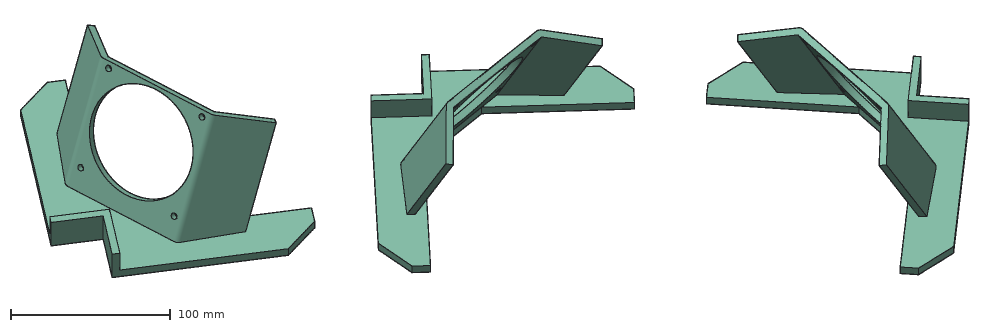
import cadquery as cq
import math

half_width = 102.4
depth = 115.9
base_thickness = 6.1
fork_tip_x = 23.3
arm_tip_x = 94.2

sheet = 5.0
wall_top = 21.7

tilt = 25.0
panel_top = 89.7
panel_half_width = 40.5
wing_length = 40.0
wing_angle = math.radians(45)
panel_foot_y = 42.8
hole_diameter = 76.0
screw_diameter = 4.0
screw_spacing = 71.5

tilt_radians = math.radians(tilt)
panel_length = (panel_top - base_thickness) / math.cos(tilt_radians)
panel_rear_y = panel_foot_y + sheet / math.cos(tilt_radians)


def mirrored_outline(right_side):
    """Complete an outline by reflecting its right-hand points about X = 0."""
    left_side = [(-x, y) for x, y in reversed(right_side) if x > 0]
    return right_side + left_side


def make_base():
    arm_inner_offset = depth - arm_tip_x
    bridge_half_width = panel_rear_y - arm_inner_offset
    right_side = [
        (0, fork_tip_x),
        (fork_tip_x, 0),
        (half_width, half_width - fork_tip_x),
        (half_width, depth - (half_width - arm_tip_x)),
        (arm_tip_x, depth),
        (bridge_half_width, panel_rear_y),
    ]
    return cq.Workplane("XY").polyline(mirrored_outline(right_side)).close().extrude(base_thickness)


def make_notch_wall():
    end_shift = sheet * math.sqrt(0.5)
    right_side = [
        (0, fork_tip_x),
        (fork_tip_x, 0),
        (fork_tip_x + end_shift, end_shift),
        (0, fork_tip_x + sheet * math.sqrt(2)),
    ]
    return cq.Workplane("XY").polyline(mirrored_outline(right_side)).close().extrude(wall_top)


def make_panel():
    def bend_point(angle):
        return (panel_half_width + sheet * math.sin(angle), sheet - sheet * math.cos(angle))

    run = wing_length * math.cos(wing_angle)
    rise = wing_length * math.sin(wing_angle)
    bend_middle = bend_point(wing_angle / 2)
    bend_end = bend_point(wing_angle)
    outer_tip = (bend_end[0] + run, bend_end[1] + rise)
    inner_tip = (panel_half_width + run, sheet + rise)
    half_section = (
        cq.Workplane("XY")
        .lineTo(panel_half_width, 0)
        .threePointArc(bend_middle, bend_end)
        .lineTo(*outer_tip)
        .lineTo(*inner_tip)
        .lineTo(panel_half_width, sheet)
        .lineTo(0, sheet)
        .close()
    )
    half = half_section.extrude(panel_length)
    panel = half.union(half.mirror("YZ"))

    hole_height = panel_length - panel_half_width
    front = cq.Workplane("XZ", origin=(0, 0, hole_height))
    fan_hole = front.circle(hole_diameter / 2).extrude(-sheet)
    screw_holes = (
        front.rect(screw_spacing, screw_spacing, forConstruction=True)
        .vertices()
        .circle(screw_diameter / 2)
        .extrude(-sheet)
    )
    panel = panel.cut(fan_hole).cut(screw_holes)
    panel = panel.rotate((0, 0, 0), (1, 0, 0), -tilt)
    panel = panel.translate((0, panel_foot_y, base_thickness))

    above_base = (
        cq.Workplane("XY", origin=(0, 0, base_thickness))
        .rect(4 * half_width, 4 * depth)
        .extrude(2 * panel_top)
    )
    return panel.intersect(above_base)


result = make_base().union(make_notch_wall()).union(make_panel())